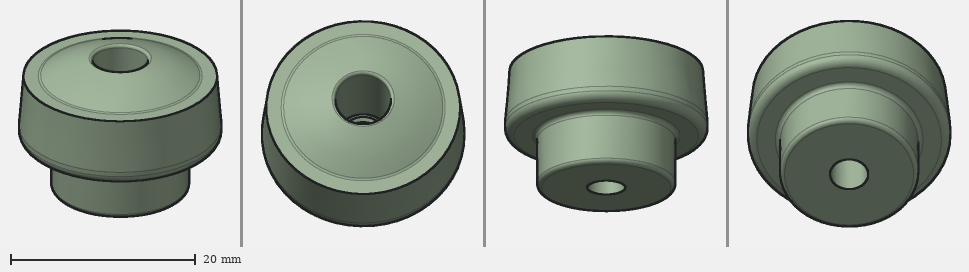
import cadquery as cq
import math

shoulder_z = 6.0
cone_start_z = 7.5
rim_z = 13.5
bore_floor_z = shoulder_z

stem_radius = 15.0 / 2
flange_radius = 21.95 / 2
rim_radius = 10.5
dome_foot_radius = 8.75
dome_sphere_radius = 16.47

bore_radius = 6.0 / 2
seat_crest_radius = 2.55
hole_radius = 4.13 / 2
seat_slope = math.tan(math.radians(30))
seat_height = (bore_radius - seat_crest_radius) * seat_slope
seat_inner_drop = (seat_crest_radius - hole_radius) * seat_slope

small_fillet = 0.5
flange_fillet = 0.99
mouth_fillet = 0.3

dome_centre_z = rim_z - math.sqrt(dome_sphere_radius**2 - dome_foot_radius**2)


def dome_height(radius):
    """Height of the spherical dome at a distance from the axis."""
    return dome_centre_z + math.sqrt(dome_sphere_radius**2 - radius**2)


def make_body():
    """Revolve the half section of the stem, flange, cone, dome and bore."""
    dome_mid_radius = (dome_foot_radius + bore_radius) / 2
    seat_crest_z = bore_floor_z + seat_height
    section = (
        cq.Workplane("XZ")
        .moveTo(hole_radius, 0)
        .lineTo(stem_radius, 0)
        .lineTo(stem_radius, shoulder_z)
        .lineTo(flange_radius, shoulder_z)
        .lineTo(flange_radius, cone_start_z)
        .lineTo(rim_radius, rim_z)
        .lineTo(dome_foot_radius, rim_z)
        .threePointArc(
            (dome_mid_radius, dome_height(dome_mid_radius)),
            (bore_radius, dome_height(bore_radius)),
        )
        .lineTo(bore_radius, bore_floor_z)
        .lineTo(seat_crest_radius, seat_crest_z)
        .lineTo(hole_radius, seat_crest_z - seat_inner_drop)
        .close()
    )
    return section.revolve(360, (0, 0, 0), (0, 1, 0))


def round_edge(body, radius, z, fillet):
    """Fillet the circular edge of the given radius and height."""
    tolerance = 0.02
    edges = [
        edge
        for edge in body.edges("%CIRCLE").vals()
        if abs(edge.radius() - radius) < tolerance and abs(edge.Center().z - z) < tolerance
    ]
    return body.newObject(edges).fillet(fillet)


result = make_body()
result = round_edge(result, stem_radius, 0, small_fillet)
result = round_edge(result, stem_radius, shoulder_z, small_fillet)
result = round_edge(result, flange_radius, shoulder_z, flange_fillet)
result = round_edge(result, dome_foot_radius, rim_z, small_fillet)
result = round_edge(result, bore_radius, dome_height(bore_radius), mouth_fillet)